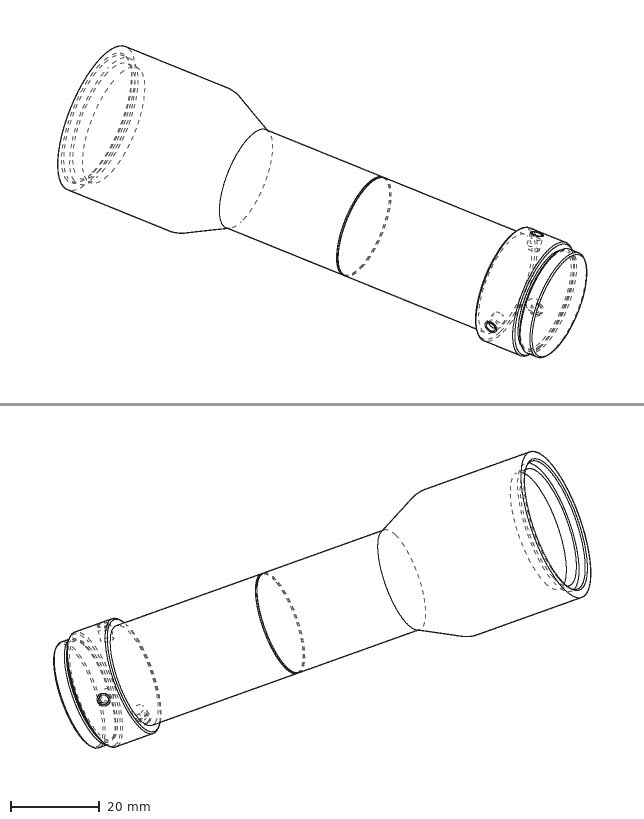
import cadquery as cq
import math

TOTAL_LENGTH = 121.0
HEAD_DIAMETER = 35.0
HEAD_RADIUS = HEAD_DIAMETER / 2
TUBE_RADIUS = 12.0
COLLAR_RADIUS = 13.8
MOUNT_RADIUS = 12.7

HEAD_LENGTH = 26.6
SHOULDER_END = 29.2
SHOULDER_DROP = 0.6
CONE_END = 39.1
GROOVE_START = 69.7
COLLAR_START = 106.8
COLLAR_END = 117.1
MOUNT_START = 117.7

EDGE_CHAMFER = 0.4
GROOVE_WIDTH = 0.4
GROOVE_DEPTH = 0.1

OPENING_RADIUS = 15.4
OPENING_DEPTH = 1.9
LENS_BORE_RADIUS = 14.0
LENS_RADIUS = 13.7
LENS_EDGE_DEPTH = 4.5
LENS_BULGE = 1.7

SCREW_COUNT = 3
SCREW_X = 111.0
SCREW_DIAMETER = 3.0
SCREW_LENGTH = 3.6
SOCKET_DIAMETER = 2.3
SOCKET_DEPTH = 1.1


def groove_cutter():
    """Thin ring that cuts the shallow groove around the tube."""
    ring = cq.Workplane("YZ", origin=(GROOVE_START, 0, 0)).circle(TUBE_RADIUS + GROOVE_DEPTH)
    return ring.circle(TUBE_RADIUS - GROOVE_DEPTH).extrude(GROOVE_WIDTH)


def make_barrel():
    """Turned barrel: head, shoulder, cone, tube, collar and mount, with the lens front."""
    shoulder_run = SHOULDER_END - HEAD_LENGTH
    half_angle = math.atan2(SHOULDER_DROP, shoulder_run)
    arc_radius = shoulder_run / math.sin(2 * half_angle)
    mid_shoulder = (
        HEAD_LENGTH + arc_radius * math.sin(half_angle),
        HEAD_RADIUS - arc_radius * (1 - math.cos(half_angle)),
    )
    lens_apex = LENS_EDGE_DEPTH - LENS_BULGE
    sphere_radius = (LENS_RADIUS**2 + LENS_BULGE**2) / (2 * LENS_BULGE)
    lens_mid_radius = LENS_RADIUS / 2
    lens_mid_x = lens_apex + sphere_radius - math.sqrt(sphere_radius**2 - lens_mid_radius**2)
    profile = (
        cq.Workplane("XZ")
        .moveTo(lens_apex, 0)
        .threePointArc((lens_mid_x, lens_mid_radius), (LENS_EDGE_DEPTH, LENS_RADIUS))
        .lineTo(LENS_EDGE_DEPTH, LENS_BORE_RADIUS)
        .lineTo(OPENING_DEPTH, LENS_BORE_RADIUS)
        .lineTo(OPENING_DEPTH, OPENING_RADIUS)
        .lineTo(EDGE_CHAMFER, OPENING_RADIUS)
        .lineTo(0, OPENING_RADIUS + EDGE_CHAMFER)
        .lineTo(0, HEAD_RADIUS)
        .lineTo(HEAD_LENGTH, HEAD_RADIUS)
        .threePointArc(mid_shoulder, (SHOULDER_END, HEAD_RADIUS - SHOULDER_DROP))
        .lineTo(CONE_END, TUBE_RADIUS)
        .lineTo(COLLAR_START, TUBE_RADIUS)
        .lineTo(COLLAR_START, COLLAR_RADIUS - EDGE_CHAMFER)
        .lineTo(COLLAR_START + EDGE_CHAMFER, COLLAR_RADIUS)
        .lineTo(COLLAR_END - EDGE_CHAMFER, COLLAR_RADIUS)
        .lineTo(COLLAR_END, COLLAR_RADIUS - EDGE_CHAMFER)
        .lineTo(COLLAR_END, TUBE_RADIUS)
        .lineTo(MOUNT_START, TUBE_RADIUS)
        .lineTo(MOUNT_START, MOUNT_RADIUS - EDGE_CHAMFER)
        .lineTo(MOUNT_START + EDGE_CHAMFER, MOUNT_RADIUS)
        .lineTo(TOTAL_LENGTH - EDGE_CHAMFER, MOUNT_RADIUS)
        .lineTo(TOTAL_LENGTH, MOUNT_RADIUS - EDGE_CHAMFER)
        .lineTo(TOTAL_LENGTH, 0)
        .close()
    )
    barrel = profile.revolve(360, (0, 0, 0), (1, 0, 0))
    return barrel.cut(groove_cutter())


def screw_blank(angle):
    """Radial cylinder standing at the collar, turned about X from the -Y side."""
    face = cq.Workplane("XZ", origin=(SCREW_X, -COLLAR_RADIUS, 0))
    blank = face.circle(SCREW_DIAMETER / 2).extrude(-SCREW_LENGTH)
    return blank.rotate((0, 0, 0), (1, 0, 0), angle)


def make_set_screw(angle):
    """Set screw with a round socket in its outer end."""
    face = cq.Workplane("XZ", origin=(SCREW_X, -COLLAR_RADIUS, 0))
    socket = face.circle(SOCKET_DIAMETER / 2).extrude(-SOCKET_DEPTH)
    return screw_blank(angle).cut(socket.rotate((0, 0, 0), (1, 0, 0), angle))


screw_angles = [i * 360 / SCREW_COUNT for i in range(SCREW_COUNT)]

barrel = make_barrel()
for angle in screw_angles:
    barrel = barrel.cut(screw_blank(angle))

set_screws = [make_set_screw(angle).val() for angle in screw_angles]

result = cq.Compound.makeCompound([barrel.val(), *set_screws])